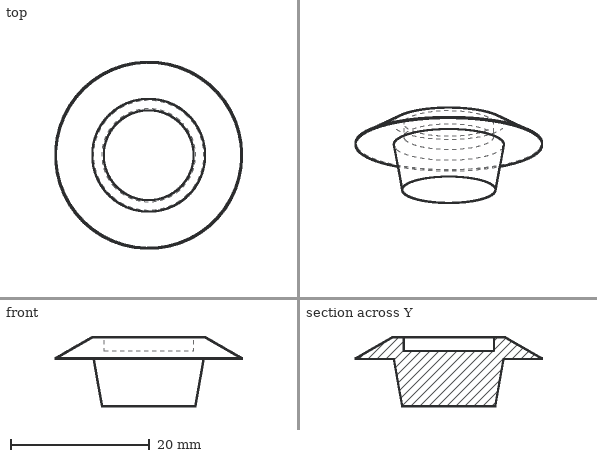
import cadquery as cq

flange_diameter = 27.0
rim_height = 0.2
rim_shoulder_diameter = 26.73
top_diameter = 16.3
total_height = 10.0

stem_height = 6.8
stem_bottom_diameter = 13.5
stem_top_diameter = 15.9

recess_diameter = 13.0
recess_depth = 2.0

body = (
    cq.Workplane("XZ")
    .lineTo(stem_bottom_diameter / 2, 0)
    .lineTo(stem_top_diameter / 2, stem_height)
    .lineTo(flange_diameter / 2, stem_height)
    .lineTo(flange_diameter / 2, stem_height + rim_height)
    .lineTo(rim_shoulder_diameter / 2, stem_height + rim_height)
    .lineTo(top_diameter / 2, total_height)
    .lineTo(0, total_height)
    .close()
    .revolve(360, (0, 0), (0, 1))
)

recess = (
    cq.Workplane("XY")
    .workplane(offset=total_height - recess_depth)
    .circle(recess_diameter / 2)
    .extrude(recess_depth)
)

result = body.cut(recess)